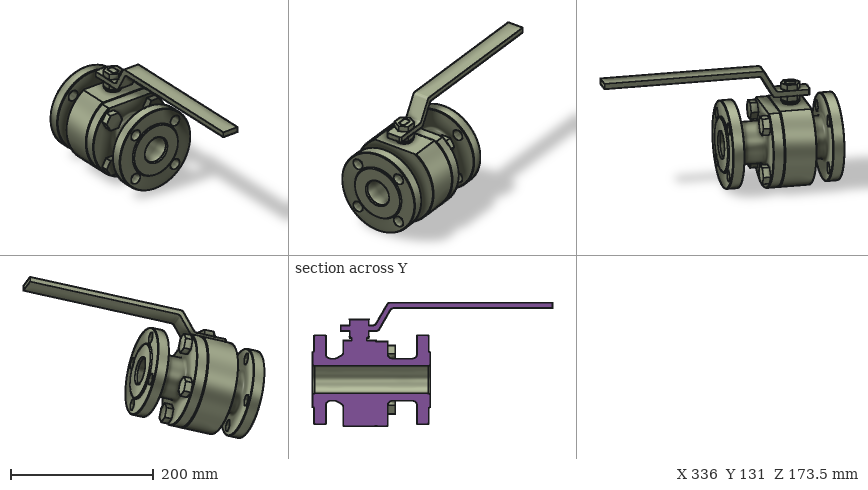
import cadquery as cq
import math


face_to_face = 165.0
bore_dia = 38.0
bore_mouth_dia = 40.0
bore_mouth_depth = 3.0

flange_dia = 125.0
flange_thickness = 17.0
flange_chamfer = 1.0
raised_face_dia = 80.0
raised_face_height = 2.0
raised_face_taper = 1.6
bolt_circle_dia = 98.0
bolt_hole_dia = 16.0
bolt_count = 4
first_bolt_angle = 45.0

neck_radius = 30.0
neck_fillet = 6.0
cone_angle = math.radians(30.0)
cone_root_radius = 4.0
cone_end_radius = 34.0
cone_body_fillet = 6.0

body_dia = 131.0
body_start = 43.0
body_end = 89.0
body_flat_height = 55.0
body_chamfer = 1.0
cap_end = 105.7
cap_flat_height = 53.5

screw_circle_radius = 51.0
screw_head_flats = 24.0
screw_head_height = 10.5

stem_x = 65.5
collar_dia = 22.0
collar_height = 3.0
washer_dia = 26.0
washer_thickness = 2.0
nut_flats = 24.0
lower_nut_height = 8.0
upper_nut_height = 8.5
stem_end_dia = 16.0
stem_end_flats = 10.0
stem_end_recess = 0.3
lever_start = 39.5
lever_end = 336.0
lever_width = 25.0
lever_thickness = 8.0
lever_top = 108.0
lever_bend_angle = math.radians(60.0)
lever_lower_bend_x = 87.5
lever_bend_radius = 5.5
lever_corner_chamfer = 2.5

hex_sides = 6

washer_base = body_flat_height + collar_height
lower_nut_base = washer_base + washer_thickness
lever_base = lower_nut_base + lower_nut_height
upper_nut_base = lever_base + lever_thickness
stem_top = upper_nut_base + upper_nut_height


def x_disc(diameter, x_start, x_end):
    """Solid cylinder on the bore axis between two X stations."""
    return cq.Workplane("YZ", origin=(x_start, 0, 0)).circle(diameter / 2).extrude(x_end - x_start)


def across_corners(flats):
    """Across-corners diameter of a hexagon given its across-flats size."""
    return flats / math.cos(math.pi / hex_sides)


def end_flange():
    """Drilled flange with its raised face at X = 0, extending toward +X."""
    flange_back = raised_face_height + flange_thickness
    disc = x_disc(flange_dia, raised_face_height, flange_back).edges().chamfer(flange_chamfer)
    holes = (
        cq.Workplane("YZ", origin=(raised_face_height, 0, 0))
        .polarArray(bolt_circle_dia / 2, first_bolt_angle, 360, bolt_count)
        .circle(bolt_hole_dia / 2)
        .extrude(flange_thickness)
    )
    base_radius = raised_face_dia / 2
    raised_face = (
        cq.Workplane("XY")
        .lineTo(0, base_radius - raised_face_taper)
        .lineTo(raised_face_height, base_radius)
        .lineTo(raised_face_height, 0)
        .close()
        .revolve(360, (0, 0, 0), (1, 0, 0))
    )
    return disc.cut(holes).union(raised_face)


def inlet_neck():
    """Neck that leaves the inlet flange with a fillet and flares conically into the body."""
    flange_back = raised_face_height + flange_thickness
    body_blend_x = body_start - cone_body_fillet * (1 - math.sin(cone_angle))
    root_end_radius = neck_radius + cone_root_radius * (1 - math.cos(cone_angle))
    root_end_x = body_blend_x - (cone_end_radius - root_end_radius) / math.tan(cone_angle)
    root_start_x = root_end_x - cone_root_radius * math.sin(cone_angle)
    foot_radius = cone_end_radius + cone_body_fillet * math.cos(cone_angle)
    return (
        cq.Workplane("XY")
        .moveTo(flange_back, 0)
        .lineTo(flange_back, neck_radius + neck_fillet)
        .radiusArc((flange_back + neck_fillet, neck_radius), -neck_fillet)
        .lineTo(root_start_x, neck_radius)
        .radiusArc((root_end_x, root_end_radius), -cone_root_radius)
        .lineTo(body_blend_x, cone_end_radius)
        .radiusArc((body_start, foot_radius), -cone_body_fillet)
        .lineTo(body_start, 0)
        .close()
        .revolve(360, (0, 0, 0), (1, 0, 0))
    )


def outlet_neck():
    """Straight neck from the cap to the outlet flange with a fillet at each end."""
    flange_back = face_to_face - raised_face_height - flange_thickness
    fillet_top = neck_radius + neck_fillet
    return (
        cq.Workplane("XY")
        .moveTo(cap_end, 0)
        .lineTo(cap_end, fillet_top)
        .radiusArc((cap_end + neck_fillet, neck_radius), -neck_fillet)
        .lineTo(flange_back - neck_fillet, neck_radius)
        .radiusArc((flange_back, fillet_top), -neck_fillet)
        .lineTo(flange_back, 0)
        .close()
        .revolve(360, (0, 0, 0), (1, 0, 0))
    )


def flat_topped_disc(x_start, x_end, flat_height):
    """Chamfered body disc whose top is cut to a flat at the given height."""
    disc = x_disc(body_dia, x_start, x_end).edges().chamfer(body_chamfer)
    above_flat = (
        cq.Workplane("XY", origin=((x_start + x_end) / 2, 0, flat_height))
        .rect(x_end - x_start, body_dia)
        .extrude(body_dia)
    )
    return disc.cut(above_flat)


def cap_screws():
    """Hexagon heads on the outlet side of the cap."""
    pitch = screw_circle_radius * math.sqrt(2)
    return (
        cq.Workplane("YZ", origin=(cap_end, 0, 0))
        .rect(pitch, pitch, forConstruction=True)
        .vertices()
        .polygon(hex_sides, across_corners(screw_head_flats))
        .extrude(screw_head_height)
    )


def stem_plane(height):
    """Horizontal workplane centred on the stem axis."""
    return cq.Workplane("XY", origin=(stem_x, 0, height))


def hex_nut(base, height):
    """Hexagonal nut on the stem axis with two corners along X."""
    return stem_plane(base).polygon(hex_sides, across_corners(nut_flats)).extrude(height)


def stem_end_pocket():
    """Shallow recess where the double-flatted stem end sits just below the top of its nut."""
    floor = stem_plane(stem_top - stem_end_recess)
    round_end = floor.circle(stem_end_dia / 2).extrude(stem_end_recess)
    between_flats = floor.rect(stem_end_dia, stem_end_flats).extrude(stem_end_recess)
    return round_end.intersect(between_flats)


def stem_stack():
    """Stem collar, washer and the two nuts that clamp the lever."""
    collar = stem_plane(body_flat_height).circle(collar_dia / 2).extrude(collar_height)
    washer = stem_plane(washer_base).circle(washer_dia / 2).extrude(washer_thickness)
    lower_nut = hex_nut(lower_nut_base, lower_nut_height)
    upper_nut = hex_nut(upper_nut_base, upper_nut_height)
    return collar.union(washer).union(lower_nut).union(upper_nut).cut(stem_end_pocket())


def lever():
    """Flat bar lever cranked upward past the nuts, with its stem end corners chamfered."""
    lever_rise = lever_top - lever_thickness - lever_base
    crank_run = lever_rise / math.tan(lever_bend_angle)
    underside_shift = lever_thickness * math.tan(lever_bend_angle / 2)
    upper_bend_x = lever_lower_bend_x + crank_run
    bar = (
        cq.Workplane("XZ")
        .moveTo(lever_start, upper_nut_base)
        .lineTo(lever_lower_bend_x, upper_nut_base)
        .lineTo(upper_bend_x, lever_top)
        .lineTo(lever_end, lever_top)
        .lineTo(lever_end, lever_top - lever_thickness)
        .lineTo(upper_bend_x + underside_shift, lever_top - lever_thickness)
        .lineTo(lever_lower_bend_x + underside_shift, lever_base)
        .lineTo(lever_start, lever_base)
        .close()
        .extrude(lever_width / 2, both=True)
    )
    bends = bar.edges("|Y").edges("not(<X or >X)")
    rounded = bends.fillet(lever_bend_radius)
    return rounded.faces("<X").edges("|Z").chamfer(lever_corner_chamfer)


def bore():
    """Through bore that widens conically toward each end face."""
    bore_radius = bore_dia / 2
    mouth_radius = bore_mouth_dia / 2
    return (
        cq.Workplane("XY")
        .lineTo(0, mouth_radius)
        .lineTo(bore_mouth_depth, bore_radius)
        .lineTo(face_to_face - bore_mouth_depth, bore_radius)
        .lineTo(face_to_face, mouth_radius)
        .lineTo(face_to_face, 0)
        .close()
        .revolve(360, (0, 0, 0), (1, 0, 0))
    )


inlet_flange = end_flange()
outlet_flange = end_flange().mirror("YZ").translate((face_to_face, 0, 0))
body = flat_topped_disc(body_start, body_end, body_flat_height)
cap = flat_topped_disc(body_end, cap_end, cap_flat_height)

result = inlet_flange
features = (
    inlet_neck(),
    body,
    cap,
    outlet_neck(),
    outlet_flange,
    cap_screws(),
    stem_stack(),
    lever(),
)
for feature in features:
    result = result.union(feature)
result = result.cut(bore())